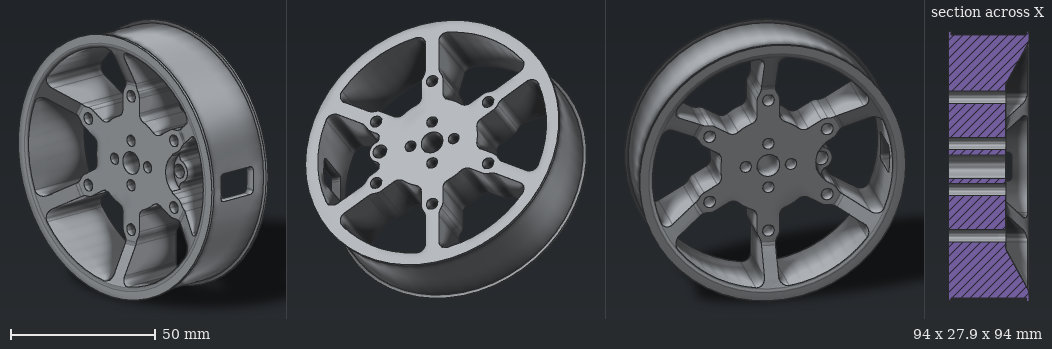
import cadquery as cq
import math

outer_radius = 47.0
width = 27.9
barrel_radius = 45.8
flange_thickness = 1.0
window_radius = 42.4
front_y = -width / 2
back_y = width / 2

dish_depth = 8.0
dish_floor_radius = 28.8
dish_mouth_radius = 43.2
dish_blend_radius = 2.5
hub_face_y = front_y + dish_depth

arm_count = 6
first_arm_angle = 90.0
hub_radius = 16.8
arm_half_width = 8.0 / 2
arm_tip_distance = 24.0
spoke_half_width = 5.0 / 2
hub_corner_radius = 3.0
arm_tip_corner_radius = 5.0
rim_corner_radius = 3.0

bore_radius = 8.0 / 2
bolt_radius = 2.0
bolt_circle_radius = 8.0
bolt_count = 4
arm_hole_radius = 2.1

lug_distance = 19.4
lug_radius = arm_half_width
lug_corner_radius = 2.0
lug_hole_radius = 5.0 / 2
pocket_distance = 25.0
pocket_radius = 8.3
pocket_depth = 4.0

slot_length = 16.0
slot_height = 10.0
slot_corner_radius = 1.5


def rod(radius, x=0.0, z=0.0, start_y=front_y, end_y=back_y):
    """Solid cylinder parallel to Y."""
    disc = cq.Workplane("XZ", origin=(0, start_y, 0)).center(x, z).circle(radius)
    return disc.extrude(start_y - end_y)


def bar(x_start, x_end, half_height):
    """Full-width bar along +X, centred on the X axis."""
    length = x_end - x_start
    return cq.Workplane("XY").box(length, width, 2 * half_height).translate((x_start + length / 2, 0, 0))


def polar(distance, angle):
    """X and Z of a point at a distance from the axis."""
    return distance * math.cos(math.radians(angle)), distance * math.sin(math.radians(angle))


def arm_angles():
    """Directions of the arms in degrees."""
    return [first_arm_angle + i * 360 / arm_count for i in range(arm_count)]


def corner_edges(solid, distance):
    """Edges parallel to Y at a given distance from the axis."""
    tolerance = 0.1

    def at_distance(edge):
        center = edge.Center()
        return abs(math.hypot(center.x, center.z) - distance) < tolerance
    return solid.edges("|Y").filter(at_distance)


def make_blank():
    """Solid drum with end flanges and the blended conical dish, before the windows are cut."""
    slope = math.atan2(dish_depth, dish_mouth_radius - dish_floor_radius)
    setback = dish_blend_radius * math.tan(slope / 2)
    along_r = setback * math.cos(slope)
    along_y = setback * math.sin(slope)
    profile = (
        cq.Workplane("XY")
        .moveTo(0, back_y)
        .lineTo(0, hub_face_y)
        .lineTo(dish_floor_radius - setback, hub_face_y)
        .tangentArcPoint((dish_floor_radius + along_r, hub_face_y - along_y), relative=False)
        .lineTo(dish_mouth_radius - along_r, front_y + along_y)
        .tangentArcPoint((dish_mouth_radius + setback, front_y), relative=False)
        .lineTo(outer_radius, front_y)
        .lineTo(outer_radius, front_y + flange_thickness)
        .lineTo(barrel_radius, front_y + flange_thickness)
        .lineTo(barrel_radius, back_y - flange_thickness)
        .lineTo(outer_radius, back_y - flange_thickness)
        .lineTo(outer_radius, back_y)
        .close()
    )
    return profile.revolve(360, (0, 0, 0), (0, 1, 0))


def make_windows():
    """The six openings between the spokes, with rounded corners."""
    arm = (
        bar(0, arm_tip_distance, arm_half_width)
        .union(rod(arm_half_width, arm_tip_distance))
        .union(bar(0, outer_radius, spoke_half_width))
    )
    windows = rod(window_radius).cut(rod(hub_radius))
    for angle in arm_angles():
        windows = windows.cut(arm.rotate((0, 0, 0), (0, 1, 0), angle))
    tip_corner_distance = math.hypot(
        arm_tip_distance + math.sqrt(arm_half_width**2 - spoke_half_width**2), spoke_half_width
    )
    corners = (
        (hub_radius, hub_corner_radius),
        (tip_corner_distance, arm_tip_corner_radius),
        (window_radius, rim_corner_radius),
    )
    for distance, radius in corners:
        windows = corner_edges(windows, distance).fillet(radius)
    return windows


def make_lug():
    """Rounded lug joined to the two nearest arms by concave corners, from the hub face to the back."""
    arm_angle = math.radians(180 / arm_count)
    corner_across = arm_half_width + lug_corner_radius
    lug_across = lug_distance * math.sin(arm_angle)
    corner_along = lug_distance * math.cos(arm_angle) + math.sqrt(
        (lug_radius + lug_corner_radius) ** 2 - (lug_across - corner_across) ** 2
    )

    def from_arm(along, across):
        """X and Z of a point given in the frame of that arm."""
        x = along * math.cos(arm_angle) + across * math.sin(arm_angle)
        z = along * math.sin(arm_angle) - across * math.cos(arm_angle)
        return x, z

    corner_x, corner_z = from_arm(corner_along, corner_across)
    foot_x, foot_z = from_arm(corner_along, arm_half_width)
    web = (
        cq.Workplane("XZ", origin=(0, hub_face_y, 0))
        .polyline([
            (0, 0),
            (foot_x, foot_z),
            (corner_x, corner_z),
            (lug_distance, 0),
            (corner_x, -corner_z),
            (foot_x, -foot_z),
        ])
        .close()
        .extrude(hub_face_y - back_y)
    )
    for z in (corner_z, -corner_z):
        web = web.cut(rod(lug_corner_radius, corner_x, z))
    return web.union(rod(lug_radius, lug_distance, start_y=hub_face_y))


def make_holes():
    """Bore, bolt circle, arm holes and lug hole."""
    holes = rod(bore_radius).union(rod(lug_hole_radius, lug_distance))
    for i in range(bolt_count):
        holes = holes.union(rod(bolt_radius, *polar(bolt_circle_radius, i * 360 / bolt_count)))
    for angle in arm_angles():
        holes = holes.union(rod(arm_hole_radius, *polar(arm_tip_distance, angle)))
    return holes


def make_rim_slot():
    """Rounded slot cutter pointing along +X, starting between the lug and the rim."""
    start_x = (lug_distance + window_radius) / 2
    slot = cq.Workplane("YZ", origin=(start_x, 0, 0)).rect(slot_length, slot_height)
    return slot.extrude(outer_radius).edges("|X").fillet(slot_corner_radius)


def make_pocket():
    """Round cutter that lowers the front of the lug."""
    return rod(pocket_radius, pocket_distance, end_y=hub_face_y + pocket_depth)


result = (
    make_blank()
    .cut(make_windows())
    .union(make_lug())
    .cut(make_pocket())
    .cut(make_holes())
    .cut(make_rim_slot())
)